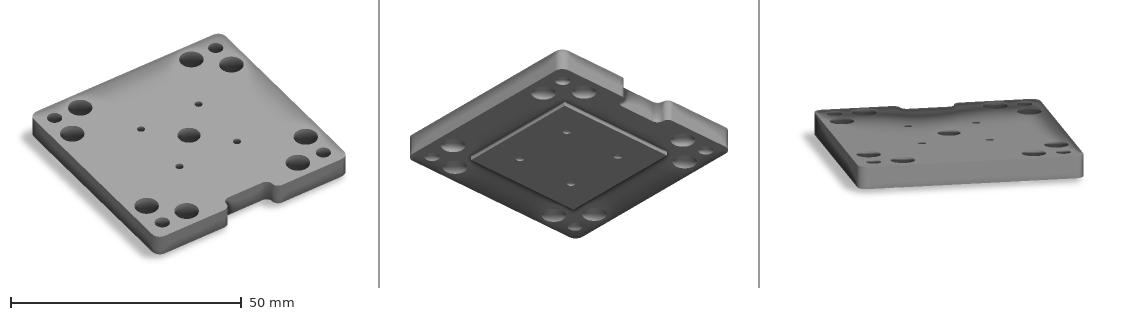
import cadquery as cq

plate_side = 50.0
plate_thickness = 5.0
plate_corner_radius = 2.0

notch_width = 12.0
notch_depth = 3.0
notch_radius = notch_depth / 2

pad_side = 30.0
pad_thickness = 1.0

corner_hole_diameter = 3.3
corner_hole_offset = 21.0
mounting_hole_diameter = 5.3
mounting_hole_near_offset = 14.5
mounting_hole_far_offset = 20.75
center_hole_diameter = 5.0

pad_hole_diameter = 1.8
pad_hole_offset = 7.5


def mirrored_points(x, y):
    """Four points at (+-x, +-y)."""
    return [(sign_x * x, sign_y * y) for sign_x in (-1, 1) for sign_y in (-1, 1)]


def hole_cutter(points, diameter):
    """Upright cylinders that run through the full height of both bodies."""
    height = pad_thickness + plate_thickness
    return (
        cq.Workplane("XY", origin=(0, 0, -pad_thickness))
        .pushPoints(points)
        .circle(diameter / 2)
        .extrude(height)
    )


def plate_blank():
    """Rounded square plate with a notch whose four corners are all rounded."""
    square = (
        cq.Workplane("XY")
        .rect(plate_side, plate_side)
        .extrude(plate_thickness)
        .edges("|Z")
        .fillet(plate_corner_radius)
    )
    edge_x = plate_side / 2
    floor_x = edge_x - notch_depth
    junction_x = floor_x + notch_radius
    half_width = notch_width / 2
    inner_y = half_width - notch_radius
    outer_y = half_width + notch_radius
    notch = (
        cq.Workplane("XY")
        .moveTo(edge_x, -outer_y)
        .radiusArc((junction_x, -half_width), -notch_radius)
        .radiusArc((floor_x, -inner_y), notch_radius)
        .lineTo(floor_x, inner_y)
        .radiusArc((junction_x, half_width), notch_radius)
        .radiusArc((edge_x, outer_y), -notch_radius)
        .close()
        .extrude(plate_thickness)
    )
    return square.cut(notch)


pad_hole_points = mirrored_points(pad_hole_offset, pad_hole_offset)


def make_plate():
    corner_points = mirrored_points(corner_hole_offset, corner_hole_offset)
    mounting_points = [
        *mirrored_points(mounting_hole_near_offset, mounting_hole_far_offset),
        *mirrored_points(mounting_hole_far_offset, mounting_hole_near_offset),
    ]
    return (
        plate_blank()
        .cut(hole_cutter(corner_points, corner_hole_diameter))
        .cut(hole_cutter(mounting_points, mounting_hole_diameter))
        .cut(hole_cutter([(0, 0)], center_hole_diameter))
        .cut(hole_cutter(pad_hole_points, pad_hole_diameter))
    )


def make_pad():
    """The pad closes the bottom of the plate's center hole."""
    return (
        cq.Workplane("XY")
        .rect(pad_side, pad_side)
        .extrude(-pad_thickness)
        .cut(hole_cutter(pad_hole_points, pad_hole_diameter))
    )


plate = make_plate().solids()
pad = make_pad().solids()

result = cq.Compound.makeCompound([plate.val(), pad.val()])